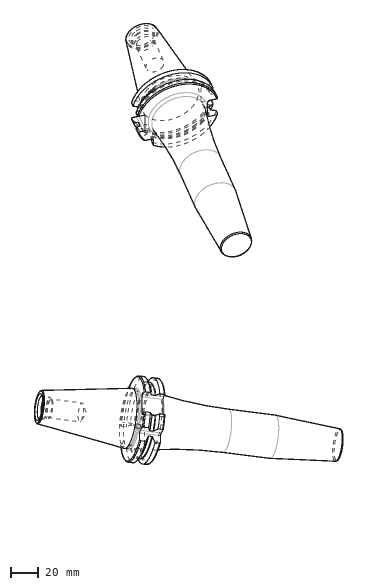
import cadquery as cq
import math

TAPER_RATIO = 7 / 24
GAUGE_DIAMETER = 44.45
SHANK_LENGTH = 68.0
SHANK_END_CHAMFER = 0.6
RELIEF_RADIUS = 21.95
RELIEF_TAPER_LENGTH = 1.4
RELIEF_CORNER_RADIUS = 0.8

FLANGE_DIAMETER = 63.55
FLANGE_GAP = 3.2
FLANGE_WIDTH = 15.9
FLANGE_EDGE_CHAMFER = 0.8
GROOVE_CENTER_FROM_GAUGE = 11.3
GROOVE_DEPTH = 3.65
GROOVE_MOUTH_WIDTH = 7.2
GROOVE_FLOOR_FILLET = 0.5
GROOVE_SIDE_ANGLE = 30

SLOT_WIDTH = 16.1
SLOT_FLOOR_FRONT = 25.0
SLOT_FLOOR_BACK = 22.8
NOTCH_Y = 18.5
NOTCH_Z = 18.2
POCKET_CORNER_RADIUS = 1.5

OVERALL_LENGTH = 228.25
NECK_FILLET = 2.0
NECK_START_RADIUS = 20.6
BODY_RADIUS = 16.0
NECK_END = 142.0
NOSE_TAPER_LENGTH = 50.4
NOSE_RADIUS = 12.0
NOSE_CHAMFER_LENGTH = 1.0
NOSE_CHAMFER_HEIGHT = 0.5

MOUTH_RADIUS = 9.8
PILOT_RADIUS = 8.5
PILOT_DEPTH = 4.0
THREAD_MAJOR_RADIUS = 8.0
THREAD_START = 7.5
THREAD_RADIUS = 6.9
THREAD_DEPTH = 32.0
DRILL_POINT_ANGLE = 118

FLANGE_START = SHANK_LENGTH + FLANGE_GAP
FLANGE_END = FLANGE_START + FLANGE_WIDTH
FLANGE_RADIUS = FLANGE_DIAMETER / 2
GAUGE_RADIUS = GAUGE_DIAMETER / 2
SHANK_END_RADIUS = GAUGE_RADIUS - SHANK_LENGTH * TAPER_RATIO / 2


def revolve_about_x(profile):
    """Turn a closed XY profile around the X axis."""
    return profile.close().revolve(360, (0, 0, 0), (1, 0, 0))


def make_shank():
    chamfer_end_radius = SHANK_END_RADIUS + SHANK_END_CHAMFER * TAPER_RATIO / 2
    corner = RELIEF_CORNER_RADIUS
    profile = (
        cq.Workplane("XY")
        .lineTo(0, SHANK_END_RADIUS - SHANK_END_CHAMFER)
        .lineTo(SHANK_END_CHAMFER, chamfer_end_radius)
        .lineTo(SHANK_LENGTH, GAUGE_RADIUS)
        .lineTo(SHANK_LENGTH + RELIEF_TAPER_LENGTH, RELIEF_RADIUS)
        .lineTo(FLANGE_START - corner, RELIEF_RADIUS)
        .radiusArc((FLANGE_START, RELIEF_RADIUS + corner), -corner)
        .lineTo(FLANGE_START, 0)
    )
    return revolve_about_x(profile)


def make_flange():
    groove_center = SHANK_LENGTH + GROOVE_CENTER_FROM_GAUGE
    side_angle = math.radians(GROOVE_SIDE_ANGLE)
    mouth_half = GROOVE_MOUTH_WIDTH / 2
    corner_half = mouth_half - GROOVE_DEPTH * math.tan(side_angle)
    floor_radius = FLANGE_RADIUS - GROOVE_DEPTH
    tangent = GROOVE_FLOOR_FILLET * math.tan((math.pi / 2 - side_angle) / 2)
    floor_half = corner_half - tangent
    side_half = corner_half + tangent * math.sin(side_angle)
    side_radius = floor_radius + tangent * math.cos(side_angle)
    edge_radius = FLANGE_RADIUS - FLANGE_EDGE_CHAMFER
    profile = (
        cq.Workplane("XY")
        .moveTo(FLANGE_START, 0)
        .lineTo(FLANGE_START, edge_radius)
        .lineTo(FLANGE_START + FLANGE_EDGE_CHAMFER, FLANGE_RADIUS)
        .lineTo(groove_center - mouth_half, FLANGE_RADIUS)
        .lineTo(groove_center - side_half, side_radius)
        .radiusArc((groove_center - floor_half, floor_radius), -GROOVE_FLOOR_FILLET)
        .lineTo(groove_center + floor_half, floor_radius)
        .radiusArc((groove_center + side_half, side_radius), -GROOVE_FLOOR_FILLET)
        .lineTo(groove_center + mouth_half, FLANGE_RADIUS)
        .lineTo(FLANGE_END - FLANGE_EDGE_CHAMFER, FLANGE_RADIUS)
        .lineTo(FLANGE_END, edge_radius)
        .lineTo(FLANGE_END, 0)
    )
    return revolve_about_x(profile)


def make_pocket(y_near, y_far, z_low, z_high):
    """Box through the flange width whose inner edges, at y_near, are rounded."""
    inner_side = "<Y" if y_far > y_near else ">Y"
    return (
        cq.Workplane("XY")
        .box(FLANGE_WIDTH, abs(y_far - y_near), z_high - z_low)
        .translate(((FLANGE_START + FLANGE_END) / 2, (y_near + y_far) / 2, (z_low + z_high) / 2))
        .faces(inner_side)
        .edges("|X")
        .fillet(POCKET_CORNER_RADIUS)
    )


def cut_flange_pockets(flange):
    outside = FLANGE_DIAMETER
    half_slot = SLOT_WIDTH / 2
    front_slot = make_pocket(-SLOT_FLOOR_FRONT, -outside, -half_slot, half_slot)
    back_slot = make_pocket(SLOT_FLOOR_BACK, outside, -half_slot, half_slot)
    notch = make_pocket(-NOTCH_Y, -outside, -outside, -NOTCH_Z)
    return flange.cut(front_slot).cut(back_slot).cut(notch)


def make_nose():
    neck_start = FLANGE_END + NECK_FILLET
    nose_taper_start = OVERALL_LENGTH - NOSE_TAPER_LENGTH
    chamfer_start = OVERALL_LENGTH - NOSE_CHAMFER_LENGTH
    nose_slope = (BODY_RADIUS - NOSE_RADIUS) / NOSE_TAPER_LENGTH
    neck_length = NECK_END - neck_start
    neck_drop = NECK_START_RADIUS - BODY_RADIUS
    neck_arc_radius = (neck_length**2 + neck_drop**2) / (2 * neck_drop)
    profile = (
        cq.Workplane("XY")
        .moveTo(FLANGE_END, 0)
        .lineTo(FLANGE_END, NECK_START_RADIUS + NECK_FILLET)
        .radiusArc((neck_start, NECK_START_RADIUS), -NECK_FILLET)
        .radiusArc((NECK_END, BODY_RADIUS), -neck_arc_radius)
        .lineTo(nose_taper_start, BODY_RADIUS)
        .lineTo(chamfer_start, NOSE_RADIUS + nose_slope * NOSE_CHAMFER_LENGTH)
        .lineTo(OVERALL_LENGTH, NOSE_RADIUS - NOSE_CHAMFER_HEIGHT)
        .lineTo(OVERALL_LENGTH, 0)
    )
    return revolve_about_x(profile)


def make_stud_hole():
    mouth_chamfer = MOUTH_RADIUS - PILOT_RADIUS
    pilot_step = PILOT_RADIUS - THREAD_MAJOR_RADIUS
    thread_step = THREAD_MAJOR_RADIUS - THREAD_RADIUS
    point_length = THREAD_RADIUS / math.tan(math.radians(DRILL_POINT_ANGLE / 2))
    profile = (
        cq.Workplane("XY")
        .lineTo(0, MOUTH_RADIUS)
        .lineTo(mouth_chamfer, PILOT_RADIUS)
        .lineTo(PILOT_DEPTH, PILOT_RADIUS)
        .lineTo(PILOT_DEPTH + pilot_step, THREAD_MAJOR_RADIUS)
        .lineTo(THREAD_START, THREAD_MAJOR_RADIUS)
        .lineTo(THREAD_START + thread_step, THREAD_RADIUS)
        .lineTo(THREAD_DEPTH, THREAD_RADIUS)
        .lineTo(THREAD_DEPTH + point_length, 0)
    )
    return revolve_about_x(profile)


flange = cut_flange_pockets(make_flange())
result = make_shank().union(flange).union(make_nose()).cut(make_stud_hole())